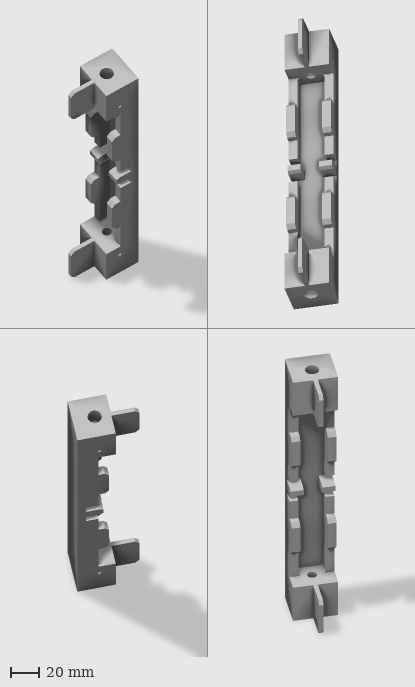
import cadquery as cq

LENGTH = 214.0
WIDTH = 32.5
HALF_LENGTH = LENGTH / 2
HALF_WIDTH = WIDTH / 2

FLOOR_DEPTH = 6.5
RAIL_DEPTH = 15.5
PEG_DEPTH = 19.0
TAB_DEPTH = 23.0
BLOCK_DEPTH = 27.8
FIN_DEPTH = 48.0

BLOCK_LENGTH = 29.7
FIN_THICKNESS = 3.2
CORNER_CHAMFER = 3.0

RAIL_THICKNESS = 6.5
CHANNEL_WIDTH = WIDTH - 2 * RAIL_THICKNESS
CHANNEL_LENGTH = LENGTH - 2 * BLOCK_LENGTH
CHANNEL_CORNER_RADIUS = 2.1

TAB_LENGTH = 27.5
TAB_CENTER_Z = 38.7

GAP_LENGTH = 18.8
PEG_LENGTH = 9.6
PEG_HEIGHT = 7.0
PEG_CHAMFER_DEPTH = 3.0
PEG_CHAMFER_RISE = 1.3

HOLE_DEPTH = 16.0
BORE_DIAMETER = 6.8
COUNTERBORE_DIAMETER = 10.0
COUNTERBORE_LENGTH = BLOCK_LENGTH / 2
PIN_DIAMETER = 2.5
PIN_FROM_END = 20.8


def front_box(x_size, front_depth, z_size, x_center, z_center):
    """Box from the back face forward to front_depth."""
    box = cq.Workplane("XY").box(x_size, front_depth, z_size)
    return box.translate((x_center, -front_depth / 2, z_center))


def chamfered_plate(x_size, front_depth, z_size, x_center, z_center, depth_cut, z_cut):
    """Front box whose two front edges parallel to X are chamfered."""
    half = z_size / 2
    profile = [
        (0, -half),
        (depth_cut - front_depth, -half),
        (-front_depth, z_cut - half),
        (-front_depth, half - z_cut),
        (depth_cut - front_depth, half),
        (0, half),
    ]
    plate = cq.Workplane("YZ").polyline(profile).close().extrude(x_size / 2, both=True)
    return plate.translate((x_center, 0, z_center))


def lengthwise_hole(diameter, z_start, length):
    """Cylinder along Z, starting at z_start."""
    circle = cq.Workplane("XY", origin=(0, -HOLE_DEPTH, z_start)).circle(diameter / 2)
    return circle.extrude(length)


def pin_hole(z_center):
    """Cylinder along X through the full width."""
    circle = cq.Workplane("YZ").center(-HOLE_DEPTH, z_center).circle(PIN_DIAMETER / 2)
    return circle.extrude(HALF_WIDTH, both=True)


body = front_box(WIDTH, RAIL_DEPTH, LENGTH, 0, 0)
for end in (-1, 1):
    block_z = end * (HALF_LENGTH - BLOCK_LENGTH / 2)
    body = body.union(front_box(WIDTH, BLOCK_DEPTH, BLOCK_LENGTH, 0, block_z))
    body = body.union(
        chamfered_plate(
            WIDTH, TAB_DEPTH, TAB_LENGTH, 0, end * TAB_CENTER_Z, CORNER_CHAMFER, CORNER_CHAMFER
        )
    )

channel = (
    cq.Workplane("XY")
    .box(CHANNEL_WIDTH, BLOCK_DEPTH, CHANNEL_LENGTH)
    .edges("|Y")
    .fillet(CHANNEL_CORNER_RADIUS)
    .translate((0, -FLOOR_DEPTH - BLOCK_DEPTH / 2, 0))
)
gap = cq.Workplane("XY").box(WIDTH, BLOCK_DEPTH, GAP_LENGTH)
gap = gap.translate((0, -FLOOR_DEPTH - BLOCK_DEPTH / 2, 0))
body = body.cut(channel).cut(gap)

for side in (-1, 1):
    peg_x = side * (HALF_WIDTH - PEG_LENGTH / 2)
    body = body.union(
        chamfered_plate(
            PEG_LENGTH, PEG_DEPTH, PEG_HEIGHT, peg_x, 0, PEG_CHAMFER_DEPTH, PEG_CHAMFER_RISE
        )
    )

for end in (-1, 1):
    block_z = end * (HALF_LENGTH - BLOCK_LENGTH / 2)
    body = body.union(
        chamfered_plate(
            FIN_THICKNESS, FIN_DEPTH, BLOCK_LENGTH, 0, block_z, CORNER_CHAMFER, CORNER_CHAMFER
        )
    )
    body = body.cut(lengthwise_hole(BORE_DIAMETER, end * HALF_LENGTH, -end * BLOCK_LENGTH))
    body = body.cut(
        lengthwise_hole(COUNTERBORE_DIAMETER, end * HALF_LENGTH, -end * COUNTERBORE_LENGTH)
    )
    body = body.cut(pin_hole(end * (HALF_LENGTH - PIN_FROM_END)))

result = body